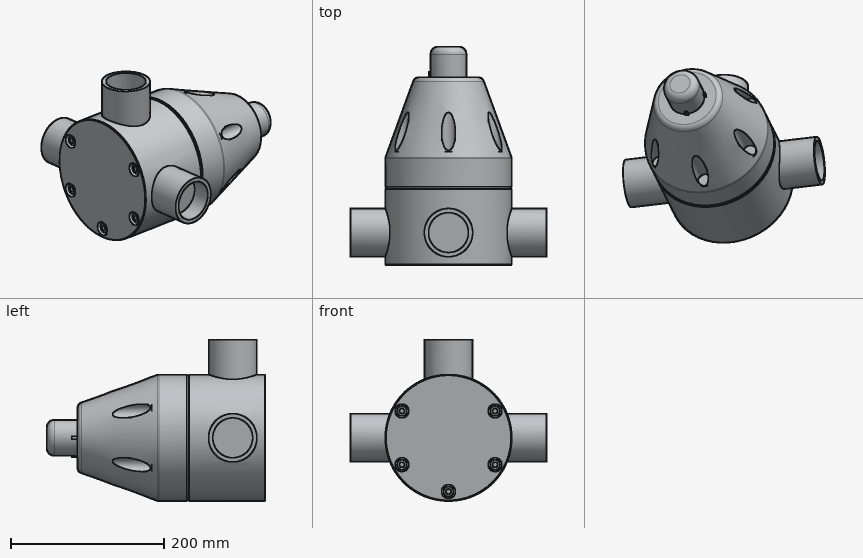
import cadquery as cq
import math

body_radius = 82.5
body_length = 100.0
rim_chamfer = 1.0
groove_depth = 0.8
groove_end = 102.5
cone_start = 140.0
cone_end = 245.0
cone_angle = 20.0
cone_base_fillet = 5.0
cone_tip_fillet = 8.0

knob_radius = 23.5
knob_end = 285.0
knob_fillet = 10.0
tab_width = 4.0
tab_length = 7.0
tab_height = 2.0

pipe_radius = 31.5
pipe_reach = 128.0
pipe_center = 42.5
socket_radius = 26.0
socket_depth = 25.0

bolt_circle_radius = 70.0
bolt_count = 6
bolt_hole_radius = 9.0
bolt_hole_depth = 11.0
bolt_head_radius = 6.5
bolt_head_recess = 3.0
drive_radius = 3.4
drive_depth = 4.0
bonnet_hole_floor = 148.0
top_angle = 90.0


def ring_position(angle):
    """X and Z of a bolt on the bolt circle."""
    turn = math.radians(angle)
    return bolt_circle_radius * math.cos(turn), bolt_circle_radius * math.sin(turn)


def cylinder_along_y(x, z, radius, y_start, y_end):
    axis_start = cq.Vector(x, y_start, z)
    y_axis = cq.Vector(0, 1, 0)
    return cq.Workplane(cq.Solid.makeCylinder(radius, y_end - y_start, axis_start, y_axis))


def make_body():
    body = cylinder_along_y(0, 0, body_radius, 0, body_length)
    body = body.faces("<Y or >Y").chamfer(rim_chamfer)
    groove_floor = cylinder_along_y(0, 0, body_radius - groove_depth, body_length - rim_chamfer, groove_end)
    return body.union(groove_floor)


def make_bonnet():
    """Short cylinder running into a cone, rounded at both ends of the cone."""
    tip_radius = body_radius - (cone_end - cone_start) * math.tan(math.radians(cone_angle))
    bonnet = (
        cq.Workplane("XY")
        .moveTo(0, groove_end)
        .lineTo(body_radius, groove_end)
        .lineTo(body_radius, cone_start)
        .lineTo(tip_radius, cone_end)
        .lineTo(0, cone_end)
        .close()
        .revolve(360, (0, 0, 0), (0, 1, 0))
    )
    bonnet = bonnet.faces(">Y").edges().fillet(cone_tip_fillet)
    cone_base = cq.selectors.RadiusNthSelector(-1)
    return bonnet.edges("%CIRCLE and (not <Y)").edges(cone_base).fillet(cone_base_fillet)


def make_knob():
    """Round-ended knob with two small stop tabs, on its -X and -Z sides."""
    knob = cylinder_along_y(0, 0, knob_radius, cone_end, knob_end)
    knob = knob.faces(">Y").edges().fillet(knob_fillet)
    tab_reach = knob_radius + tab_height
    tab = cq.Workplane("XY").box(tab_reach, tab_length, tab_width, centered=(False, False, True))
    for angle in (90, 180):
        knob = knob.union(tab.rotate((0, 0, 0), (0, 1, 0), angle).translate((0, cone_end, 0)))
    return knob


def pipe_cylinder(direction, radius, start, end):
    axis = cq.Vector(*direction)
    base = cq.Vector(0, pipe_center, 0) + axis * start
    return cq.Workplane(cq.Solid.makeCylinder(radius, end - start, base, axis))


def add_pipes(part):
    """Three blind sockets, pointing to -X, +X and +Z."""
    for direction in ((-1, 0, 0), (1, 0, 0), (0, 0, 1)):
        part = part.union(pipe_cylinder(direction, pipe_radius, 0, pipe_reach))
        part = part.cut(pipe_cylinder(direction, socket_radius, pipe_reach - socket_depth, pipe_reach))
    return part


def make_bolt(x, z):
    """Head with a round drive recess, standing on the floor of its counterbore."""
    head = cylinder_along_y(x, z, bolt_head_radius, bolt_head_recess, bolt_hole_depth)
    drive_end = bolt_head_recess + drive_depth
    drive = cylinder_along_y(x, z, drive_radius, bolt_head_recess, drive_end)
    return head.cut(drive)


def add_bolts(part):
    """Bolt pockets in the bonnet cone, and recessed bolts in the front face except at the top."""
    for index in range(bolt_count):
        angle = top_angle + index * 360 / bolt_count
        x, z = ring_position(angle)
        part = part.cut(cylinder_along_y(x, z, bolt_hole_radius, bonnet_hole_floor, cone_end))
        if angle != top_angle:
            part = part.cut(cylinder_along_y(x, z, bolt_hole_radius, 0, bolt_hole_depth))
            part = part.union(make_bolt(x, z))
    return part


shell = make_body().union(make_bonnet()).union(make_knob())
result = add_bolts(add_pipes(shell))